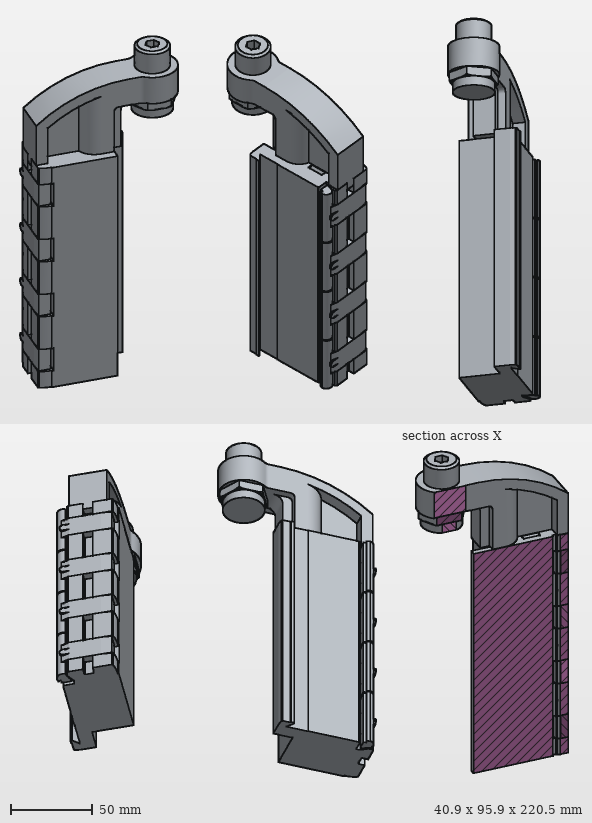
import cadquery as cq
import math


TOTAL_HEIGHT = 220.5
HOUSING_HEIGHT = 156.0
FRONT_Y = -80.0

EYE_DIAMETER = 31.8
EYE_BOTTOM = 187.0
EYE_TOP = 205.5
EYE_NECK_RADIUS = 4.5
PICK_MARGIN = 0.2
ARM_HALF_WIDTH = 12.0
ARM_ARC_START_Y = -19.6
ARM_ARC_RADIUS = 95.3
ARM_ARC_CENTRE_Z = EYE_TOP - ARM_ARC_RADIUS
STEM_BACK_Y = -29.0
STEM_CORNER_RADIUS = 2.9
RIB_BACK_Y = -23.0
RIB_HALF_WIDTH = 7.0
RIB_CORNER_RADIUS = 5.5
WEB_HALF_WIDTH = 3.7
POCKET_BACK_Y = -38.0
POCKET_FRONT_Y = -72.5
ROOF_THICKNESS = 7.0
POCKET_ROOF_RADIUS = ARM_ARC_RADIUS - ROOF_THICKNESS

SCREW_DIAMETER = 22
SCREW_TOP_DIAMETER = 18.5
SCREW_CHAMFER_HEIGHT = 1.3
SOCKET_FLATS = 8.0
SOCKET_DEPTH = 6.6
SOCKET_TIP_DEPTH = 2.2
NUT_FLATS = 27.0
NUT_HEIGHT = 5.7
NUT_CHAMFER_RADIAL = 1.3
NUT_CHAMFER_HEIGHT = 0.7
NUT_BOTTOM = EYE_BOTTOM - NUT_HEIGHT
CAP_DIAMETER = 26.0
CAP_HEIGHT = 6.0

HOUSING_RIGHT_X = 17.9
HOUSING_BACK_Y = -28.9
HOOK_LEFT_X = -23.0
FLANGE_LEFT_X = -17.9
FLANGE_BACK_Y = -16.3
FLANGE_INNER_X = -8.4
FLANGE_FRONT_Y = -69.7
FLANGE_STEP = 0.2
FLANGE_STEP_Y = -35.7
FLANGE_LIP_Y = -68.8
HOOK_TOP_X = -18.5
HOOK_SHOULDER_X = -21.5
HOOK_SHOULDER_Y = -16.8
HOOK_OUTER_X = -22.5
HOOK_OUTER_Y = -17.6
HOOK_BARB_Y = -22.5
HOOK_TIP_X = -21.8
HOOK_TIP_Y = -25.0
HOOK_ROOT_Y = -21.4
HEAD_NECK_X = -10.5
HEAD_NECK_Y = -72.3
HEAD_LEFT_X = -13.5
HEAD_BACK_Y = -76.7
HEAD_BEVEL_X = -12.3
HEAD_BEVEL_Y = -79.2
CORNER_STEP_X = 17.2
CORNER_STEP_Y = -71.9
CORNER_RADIUS = 17.6
CORNER_BEVEL = 0.7
CORNER_FRONT_X = 15.2
SLOT_MOUTH_HALF_WIDTH = 3.0
SLOT_FLOOR_HALF_WIDTH = 2.5
SLOT_WALL_DEPTH = 3.7
SLOT_DEPTH = 4.5
TONGUE_LENGTH = 5.3
GROOVE_LEFT_X = -7.5
GROOVE_RIGHT_X = -4.2
GROOVE_BACK_Y = -52.0
GROOVE_FRONT_Y = -63.0

CLIP_COUNT = 4
CLIP_PITCH = HOUSING_HEIGHT / CLIP_COUNT
STRIP_GAP = 0.9
BAND_HEIGHT = 15.9
BAND_BACK_Y = -71.7
BAND_NOTCH_Y = -70.5
BAND_LEFT_X = -12.0
BAND_RIGHT_X = 15.0
BAND_BEVEL_X = 8.4
BAND_BEVEL_DROP = 0.7
PAD_LEFT_X = -17.0
PAD_DROP = 1.3
TAB_LEFT_X = -17.9
TAB_WIDTH = 4.9
PAD_BACK_Y = -74.5
STRIP_FRONT_X = -16.3
STRIP_FRONT_Y = -78.7
STRIP_NOTCH_RIGHT_X = -18.3
STRIP_NOTCH_LEFT_X = -19.5
STRIP_NOTCH_FLOOR_Y = -73.5
STRIP_NUB_X = -19.8
STRIP_NUB_Y = -72.8
STRIP_LEFT_X = -20.5
STRIP_ARC_LEFT_Y = -75.2
STRIP_ARC_RIGHT_X = -14.5
STRIP_ARC_RIGHT_Y = -78.3
STRIP_HEEL_Y = -72.5


def hexagon(flats, height, bottom):
    """Hexagonal prism on the Z axis with two corners along Y."""
    corner_diameter = flats / math.cos(math.pi / 6)
    prism = cq.Workplane("XY").polygon(6, corner_diameter).extrude(height)
    return prism.rotate((0, 0, 0), (0, 0, 1), 90).translate((0, 0, bottom))


def cylinder(diameter, height, bottom):
    return cq.Workplane("XY").workplane(offset=bottom).circle(diameter / 2).extrude(height)


def arc_height(radius, y):
    """Height at y of an arc about the centre of the arm's curved top."""
    return ARM_ARC_CENTRE_Z + math.sqrt(radius**2 - (y - ARM_ARC_START_Y) ** 2)


def arc_point(radius, y):
    return (y, arc_height(radius, y))


def slot_prism(bottom, top):
    """Column that fills the front slot between two heights: straight walls, then a bevel to the floor."""
    return (
        cq.Workplane("XY")
        .workplane(offset=bottom)
        .moveTo(-SLOT_MOUTH_HALF_WIDTH, FRONT_Y)
        .lineTo(SLOT_MOUTH_HALF_WIDTH, FRONT_Y)
        .lineTo(SLOT_MOUTH_HALF_WIDTH, FRONT_Y + SLOT_WALL_DEPTH)
        .lineTo(SLOT_FLOOR_HALF_WIDTH, FRONT_Y + SLOT_DEPTH)
        .lineTo(-SLOT_FLOOR_HALF_WIDTH, FRONT_Y + SLOT_DEPTH)
        .lineTo(-SLOT_MOUTH_HALF_WIDTH, FRONT_Y + SLOT_WALL_DEPTH)
        .close()
        .extrude(top - bottom)
    )


def stem_rib():
    """Narrow rib up the back of the stem, flaring into the underside of the eye."""
    return (
        cq.Workplane("YZ")
        .moveTo(STEM_BACK_Y, HOUSING_HEIGHT)
        .lineTo(RIB_BACK_Y, HOUSING_HEIGHT)
        .lineTo(RIB_BACK_Y, EYE_BOTTOM - RIB_CORNER_RADIUS)
        .radiusArc((RIB_BACK_Y + RIB_CORNER_RADIUS, EYE_BOTTOM), RIB_CORNER_RADIUS)
        .lineTo(RIB_BACK_Y + RIB_CORNER_RADIUS, EYE_TOP)
        .lineTo(STEM_BACK_Y, EYE_BOTTOM)
        .close()
        .extrude(RIB_HALF_WIDTH, both=True)
    )


def arm_pockets():
    """Side pockets under the arched roof; a round column bulges into them from the stem."""
    middle_y = (POCKET_BACK_Y + POCKET_FRONT_Y) / 2
    outline = (
        cq.Workplane("YZ")
        .moveTo(POCKET_BACK_Y, HOUSING_HEIGHT)
        .lineTo(*arc_point(POCKET_ROOF_RADIUS, POCKET_BACK_Y))
        .threePointArc(
            arc_point(POCKET_ROOF_RADIUS, middle_y),
            arc_point(POCKET_ROOF_RADIUS, POCKET_FRONT_Y),
        )
        .lineTo(POCKET_FRONT_Y, HOUSING_HEIGHT)
        .close()
        .extrude(ARM_HALF_WIDTH, both=True)
    )
    web = cq.Workplane("YZ").rect(2 * TOTAL_HEIGHT, 2 * TOTAL_HEIGHT).extrude(WEB_HALF_WIDTH, both=True)
    column = cq.Workplane("XY").center(0, POCKET_BACK_Y).circle(ARM_HALF_WIDTH).extrude(TOTAL_HEIGHT)
    return outline.cut(web).cut(column)


def build_arm():
    middle_y = (ARM_ARC_START_Y + FRONT_Y) / 2
    body = (
        cq.Workplane("YZ")
        .moveTo(0, EYE_TOP)
        .lineTo(ARM_ARC_START_Y, EYE_TOP)
        .threePointArc(arc_point(ARM_ARC_RADIUS, middle_y), arc_point(ARM_ARC_RADIUS, FRONT_Y))
        .lineTo(FRONT_Y, HOUSING_HEIGHT)
        .lineTo(STEM_BACK_Y, HOUSING_HEIGHT)
        .lineTo(STEM_BACK_Y, EYE_BOTTOM - STEM_CORNER_RADIUS)
        .radiusArc((STEM_BACK_Y + STEM_CORNER_RADIUS, EYE_BOTTOM), STEM_CORNER_RADIUS)
        .lineTo(0, EYE_BOTTOM)
        .close()
        .extrude(ARM_HALF_WIDTH, both=True)
    )
    eye_height = EYE_TOP - EYE_BOTTOM
    eye = cylinder(EYE_DIAMETER, eye_height, EYE_BOTTOM)
    neck_y = -math.sqrt((EYE_DIAMETER / 2) ** 2 - ARM_HALF_WIDTH**2)
    neck_edges = cq.selectors.BoxSelector(
        (-EYE_DIAMETER, neck_y - PICK_MARGIN, EYE_BOTTOM), (EYE_DIAMETER, neck_y + PICK_MARGIN, EYE_TOP)
    )
    arm = body.union(eye).edges("|Z").edges(neck_edges).fillet(EYE_NECK_RADIUS)
    hole = cylinder(SCREW_DIAMETER, eye_height, EYE_BOTTOM)
    tongue = slot_prism(HOUSING_HEIGHT - TONGUE_LENGTH, HOUSING_HEIGHT)
    return arm.union(stem_rib()).cut(arm_pockets()).cut(hole).union(tongue)


def build_screw():
    """Screw through the eye and nut, with a hexagon socket that ends in a cone."""
    screw_radius = SCREW_DIAMETER / 2
    body = (
        cq.Workplane("XZ")
        .moveTo(0, NUT_BOTTOM)
        .lineTo(screw_radius, NUT_BOTTOM)
        .lineTo(screw_radius, TOTAL_HEIGHT - SCREW_CHAMFER_HEIGHT)
        .lineTo(SCREW_TOP_DIAMETER / 2, TOTAL_HEIGHT)
        .lineTo(0, TOTAL_HEIGHT)
        .close()
        .revolve(360, (0, 0, 0), (0, 1, 0))
    )
    socket_floor = TOTAL_HEIGHT - SOCKET_DEPTH
    tip = (
        cq.Workplane("XZ")
        .moveTo(0, socket_floor - SOCKET_TIP_DEPTH)
        .lineTo(SOCKET_FLATS / 2, socket_floor)
        .lineTo(0, socket_floor)
        .close()
        .revolve(360, (0, 0, 0), (0, 1, 0))
    )
    return body.cut(hexagon(SOCKET_FLATS, SOCKET_DEPTH, socket_floor)).cut(tip)


def build_nut():
    """Hexagon nut whose lower corners are turned off by a cone."""
    corner_diameter = NUT_FLATS / math.cos(math.pi / 6)
    envelope = cylinder(corner_diameter, NUT_HEIGHT, NUT_BOTTOM)
    envelope = envelope.faces("<Z").chamfer(NUT_CHAMFER_HEIGHT, NUT_CHAMFER_RADIAL)
    hole = cylinder(SCREW_DIAMETER, NUT_HEIGHT, NUT_BOTTOM)
    return hexagon(NUT_FLATS, NUT_HEIGHT, NUT_BOTTOM).intersect(envelope).cut(hole)


def build_cap():
    return cylinder(CAP_DIAMETER, CAP_HEIGHT, NUT_BOTTOM - CAP_HEIGHT)


def band_centre(index):
    return (index + 0.5) * CLIP_PITCH


def housing_section():
    """Full-height profile: hooked flange on the left, clip head in front, rounded right corner."""
    return (
        cq.Workplane("XY")
        .moveTo(FLANGE_INNER_X, FLANGE_BACK_Y)
        .lineTo(HOOK_TOP_X, FLANGE_BACK_Y)
        .lineTo(HOOK_SHOULDER_X, HOOK_SHOULDER_Y)
        .lineTo(HOOK_OUTER_X, HOOK_OUTER_Y)
        .lineTo(HOOK_OUTER_X, HOOK_BARB_Y)
        .lineTo(HOOK_LEFT_X, HOOK_BARB_Y + HOOK_LEFT_X - HOOK_OUTER_X)
        .lineTo(HOOK_LEFT_X, HOOK_TIP_Y)
        .lineTo(HOOK_TIP_X, HOOK_TIP_Y)
        .lineTo(FLANGE_LEFT_X + FLANGE_STEP, HOOK_ROOT_Y)
        .lineTo(FLANGE_LEFT_X + FLANGE_STEP, FLANGE_STEP_Y)
        .lineTo(FLANGE_LEFT_X, FLANGE_STEP_Y)
        .lineTo(FLANGE_LEFT_X, FLANGE_LIP_Y)
        .lineTo(FLANGE_LEFT_X + FLANGE_STEP, FLANGE_LIP_Y)
        .lineTo(FLANGE_LEFT_X + FLANGE_STEP, FLANGE_FRONT_Y)
        .lineTo(HEAD_NECK_X, FLANGE_FRONT_Y)
        .lineTo(HEAD_NECK_X, HEAD_NECK_Y)
        .lineTo(HEAD_LEFT_X, HEAD_BACK_Y)
        .lineTo(HEAD_LEFT_X, HEAD_BEVEL_Y)
        .lineTo(HEAD_BEVEL_X, FRONT_Y)
        .lineTo(CORNER_FRONT_X, FRONT_Y)
        .lineTo(CORNER_FRONT_X + CORNER_BEVEL, FRONT_Y + CORNER_BEVEL)
        .radiusArc((CORNER_STEP_X, CORNER_STEP_Y), -CORNER_RADIUS)
        .lineTo(HOUSING_RIGHT_X, CORNER_STEP_Y)
        .lineTo(HOUSING_RIGHT_X, HOUSING_BACK_Y)
        .lineTo(FLANGE_INNER_X, HOUSING_BACK_Y)
        .close()
    )


def web_groove():
    """Groove in the housing top beside the arm's web, sloping up toward the web at 45 degrees."""
    width = GROOVE_RIGHT_X - GROOVE_LEFT_X
    return (
        cq.Workplane("XZ", origin=(GROOVE_LEFT_X, GROOVE_BACK_Y, HOUSING_HEIGHT))
        .lineTo(width, 0)
        .lineTo(0, -width)
        .close()
        .extrude(GROOVE_BACK_Y - GROOVE_FRONT_Y)
    )


def build_housing():
    housing = housing_section().extrude(HOUSING_HEIGHT).cut(slot_prism(0, HOUSING_HEIGHT)).cut(web_groove())
    notch_depth = BAND_NOTCH_Y - FRONT_Y
    for index in range(CLIP_COUNT):
        notch = cq.Workplane("XY").box(2 * TOTAL_HEIGHT, notch_depth, BAND_HEIGHT)
        housing = housing.cut(notch.translate((0, FRONT_Y + notch_depth / 2, band_centre(index))))
    return housing


def clip_strip():
    """Rounded strip that runs the length of a clip beside the housing."""
    return (
        cq.Workplane("XY")
        .moveTo(BAND_LEFT_X, BAND_BACK_Y)
        .lineTo(STRIP_NOTCH_RIGHT_X, BAND_BACK_Y)
        .lineTo(STRIP_NOTCH_RIGHT_X, STRIP_NOTCH_FLOOR_Y)
        .lineTo(STRIP_NOTCH_LEFT_X, STRIP_NOTCH_FLOOR_Y)
        .lineTo(STRIP_NUB_X, STRIP_NUB_Y)
        .lineTo(STRIP_LEFT_X, STRIP_ARC_LEFT_Y)
        .threePointArc((STRIP_FRONT_X, STRIP_FRONT_Y), (STRIP_ARC_RIGHT_X, STRIP_ARC_RIGHT_Y))
        .lineTo(BAND_LEFT_X, STRIP_HEEL_Y)
        .close()
        .extrude(CLIP_PITCH - STRIP_GAP)
        .translate((0, 0, (STRIP_GAP - CLIP_PITCH) / 2))
    )


def clip_band():
    """Band across the front, with a sloping pad on the left and a bevelled right end."""
    return (
        cq.Workplane("XY")
        .moveTo(BAND_LEFT_X, BAND_BACK_Y)
        .lineTo(BAND_LEFT_X, PAD_BACK_Y)
        .lineTo(PAD_LEFT_X, PAD_BACK_Y)
        .lineTo(PAD_LEFT_X, FRONT_Y + PAD_DROP)
        .lineTo(BAND_LEFT_X, FRONT_Y)
        .lineTo(BAND_BEVEL_X, FRONT_Y)
        .lineTo(BAND_RIGHT_X, FRONT_Y + BAND_BEVEL_DROP)
        .lineTo(BAND_RIGHT_X, BAND_BACK_Y)
        .close()
        .extrude(BAND_HEIGHT / 2, both=True)
    )


def clip_tab():
    """Round-nosed tab that lies flush with the band over the pad."""
    nose_radius = TAB_WIDTH / 2
    return (
        cq.Workplane("XZ", origin=(0, FRONT_Y, 0))
        .moveTo(BAND_LEFT_X, nose_radius)
        .lineTo(TAB_LEFT_X + nose_radius, nose_radius)
        .threePointArc((TAB_LEFT_X, 0), (TAB_LEFT_X + nose_radius, -nose_radius))
        .lineTo(BAND_LEFT_X, -nose_radius)
        .close()
        .extrude(-PAD_DROP)
    )


def build_clip(index):
    clip = clip_strip().union(clip_band()).union(clip_tab())
    return clip.translate((0, 0, band_centre(index)))


arm = build_arm()
screw = build_screw()
nut = build_nut()
cap = build_cap()
housing = build_housing()
clips = [build_clip(index) for index in range(CLIP_COUNT)]

result = cq.Compound.makeCompound(
    [arm.val(), screw.val(), nut.val(), cap.val(), housing.val(), *[clip.val() for clip in clips]]
)